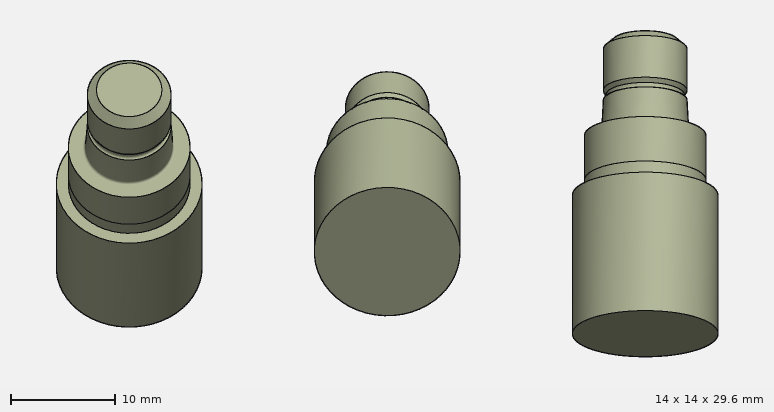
import cadquery as cq

barrel_diameter = 14.0
barrel_height = 14.0
shoulder_diameter = 11.7
spigot_height = 1.5
joint_z = barrel_height + spigot_height

total_height = 29.6
collar_top_z = 20.0
fillet_radius = 0.27
taper_bottom_radius = 4.2
head_radius = 4.03
taper_top_z = 23.62
groove_depth = 0.27
groove_floor_height = 0.27
groove_flank_height = 0.45
tip_chamfer_width = 0.9
tip_chamfer_height = 0.8

AXIS_START = (0, 0, 0)
AXIS_END = (0, 1, 0)
ARC_MID_OFFSET = 1 - 0.5 ** 0.5


def make_base():
    """Barrel and spigot, standing on Z = 0."""
    barrel = cq.Workplane("XY").circle(barrel_diameter / 2).extrude(barrel_height)
    return barrel.faces(">Z").workplane().circle(shoulder_diameter / 2).extrude(spigot_height)


def add_concave_fillet(profile, outer_radius, bottom_z):
    """Continue a profile up a concave quarter arc, from a flat face to a wall."""
    inner_radius = outer_radius - fillet_radius
    mid_offset = ARC_MID_OFFSET * fillet_radius
    middle = (inner_radius + mid_offset, bottom_z + mid_offset)
    return profile.threePointArc(middle, (inner_radius, bottom_z + fillet_radius))


def make_stud():
    """Revolved stud, standing on the flat top of the spigot."""
    foot_radius = taper_bottom_radius + fillet_radius
    groove_radius = head_radius - groove_depth
    floor_top_z = taper_top_z + fillet_radius + groove_floor_height
    profile = (
        cq.Workplane("XZ")
        .moveTo(0, joint_z)
        .lineTo(shoulder_diameter / 2, joint_z)
        .lineTo(shoulder_diameter / 2, collar_top_z)
        .lineTo(foot_radius, collar_top_z)
    )
    profile = add_concave_fillet(profile, foot_radius, collar_top_z)
    profile = profile.lineTo(head_radius, taper_top_z)
    profile = add_concave_fillet(profile, groove_radius + fillet_radius, taper_top_z)
    profile = (
        profile.lineTo(groove_radius, floor_top_z)
        .lineTo(head_radius, floor_top_z + groove_flank_height)
        .lineTo(head_radius, total_height - tip_chamfer_height)
        .lineTo(head_radius - tip_chamfer_width, total_height)
        .lineTo(0, total_height)
        .close()
    )
    return profile.revolve(360, AXIS_START, AXIS_END)


base = make_base()
stud = make_stud()

result = cq.Compound.makeCompound([base.val(), stud.val()])